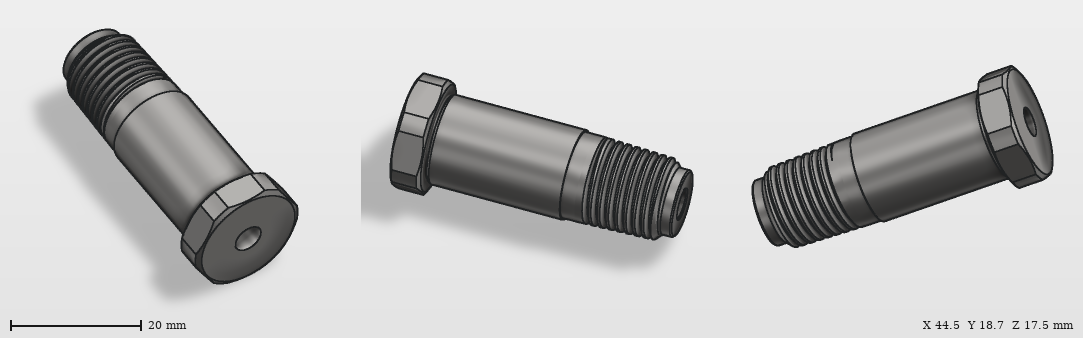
import cadquery as cq
import math

length = 44.45
nose_end_x = 1.78
taper_end_x = 15.16
body_start_x = 17.4625
head_thickness = 4.95
head_x = length - head_thickness

nose_radius = 5.33
nose_chamfer = 0.25
shoulder_radius = 6.858
body_radius = 7.144
body_chamfer_length = 0.45
body_chamfer_depth = 0.27
neck_radius = 6.77
neck_length = 0.4
neck_fillet = 0.25

inch = 25.4
threads_per_inch = 18
pitch = inch / threads_per_inch
taper_slope = 1 / 32
taper_angle = math.degrees(math.atan(taper_slope))
lead_in_slope = 1.0
thread_depth = 0.87
flank_half_angle = math.radians(30)
cutter_clearance = 0.3
groove_bottom_x = 13.05
groove_turns = 8.375
runout_length = 0.58

head_across_flats = 17.4625
head_corner_diameter = 18.67
head_face_radius = 8.5
front_chamfer_length = 0.45
back_chamfer_length = 0.5

bore_diameter = 4.65
bore_chamfer = 0.22


def taper_radius(x):
    """Crest radius of the thread taper at position x."""
    return shoulder_radius - (taper_end_x - x) * taper_slope


def revolve_about_x(points):
    """Solid of revolution about X from (x, radius) points."""
    profile = cq.Workplane("XY").polyline(points).close()
    return profile.revolve(360, (0, 0, 0), (1, 0, 0))


def make_shank():
    taper_start_x = nose_end_x + (taper_radius(nose_end_x) - nose_radius) / (lead_in_slope - taper_slope)
    neck_x = head_x - neck_length
    chamfer_x = neck_x - body_chamfer_length
    points = [
        (0, 0),
        (0, nose_radius - nose_chamfer),
        (nose_chamfer, nose_radius),
        (nose_end_x, nose_radius),
        (taper_start_x, taper_radius(taper_start_x)),
        (taper_end_x, shoulder_radius),
        (body_start_x, shoulder_radius),
        (body_start_x, body_radius),
        (chamfer_x, body_radius),
        (neck_x, body_radius - body_chamfer_depth),
        (neck_x, neck_radius),
    ]
    fillet_mid = neck_fillet * (1 - math.sqrt(0.5))
    profile = (
        cq.Workplane("XY")
        .polyline(points)
        .lineTo(head_x - neck_fillet, neck_radius)
        .threePointArc(
            (head_x - fillet_mid, neck_radius + fillet_mid),
            (head_x, neck_radius + neck_fillet),
        )
        .lineTo(length, neck_radius + neck_fillet)
        .lineTo(length, 0)
        .close()
    )
    return profile.revolve(360, (0, 0, 0), (1, 0, 0))


def make_head():
    """Hexagon with flats facing +Z and -Z, corners turned round and chamfered."""
    corner_radius = head_corner_diameter / 2
    across_corners = head_across_flats / math.cos(math.radians(30))
    hexagon = (
        cq.Workplane("YZ", origin=(head_x, 0, 0))
        .polygon(6, across_corners)
        .extrude(head_thickness)
    )
    turned_blank = revolve_about_x([
        (head_x, 0),
        (head_x, head_face_radius),
        (head_x + front_chamfer_length, corner_radius),
        (length - back_chamfer_length, corner_radius),
        (length, head_face_radius),
        (length, 0),
    ])
    return hexagon.intersect(turned_blank)


def v_groove(start_x, root_radius, axial_length, cone_angle, start_angle):
    """V-shaped cutter swept along a conical helix; angles run from -Z towards +Y."""
    slant = 1 / math.cos(math.radians(cone_angle))
    helix = cq.Wire.makeHelix(pitch * slant, axial_length * slant, root_radius, angle=cone_angle)
    cutter_height = thread_depth + cutter_clearance
    half_width = cutter_height * math.tan(flank_half_angle)
    groove = (
        cq.Workplane("XZ")
        .moveTo(root_radius, 0)
        .lineTo(root_radius + cutter_height, half_width)
        .lineTo(root_radius + cutter_height, -half_width)
        .close()
        .sweep(cq.Workplane(obj=helix), isFrenet=True)
    )
    return (
        groove
        .rotate((0, 0, 0), (0, 0, 1), start_angle)
        .rotate((0, 0, 0), (0, 1, 0), 90)
        .translate((start_x, 0, 0))
    )


def cut_thread(shank):
    full_turns = math.floor(groove_turns)
    start_x = groove_bottom_x - full_turns * pitch
    full_length = groove_turns * pitch
    runout_x = start_x + full_length
    start_root = taper_radius(start_x) - thread_depth
    runout_root = taper_radius(runout_x) - thread_depth
    runout_angle = math.degrees(math.atan(thread_depth / runout_length))

    full_groove = v_groove(start_x, start_root, full_length, taper_angle, 0)
    runout = v_groove(runout_x, runout_root, runout_length, runout_angle, 360 * (groove_turns - full_turns))
    return shank.cut(full_groove).cut(runout)


def make_bore():
    bore_radius = bore_diameter / 2
    return revolve_about_x([
        (0, 0),
        (0, bore_radius + bore_chamfer),
        (bore_chamfer, bore_radius),
        (length, bore_radius),
        (length, 0),
    ])


result = cut_thread(make_shank()).union(make_head()).cut(make_bore())